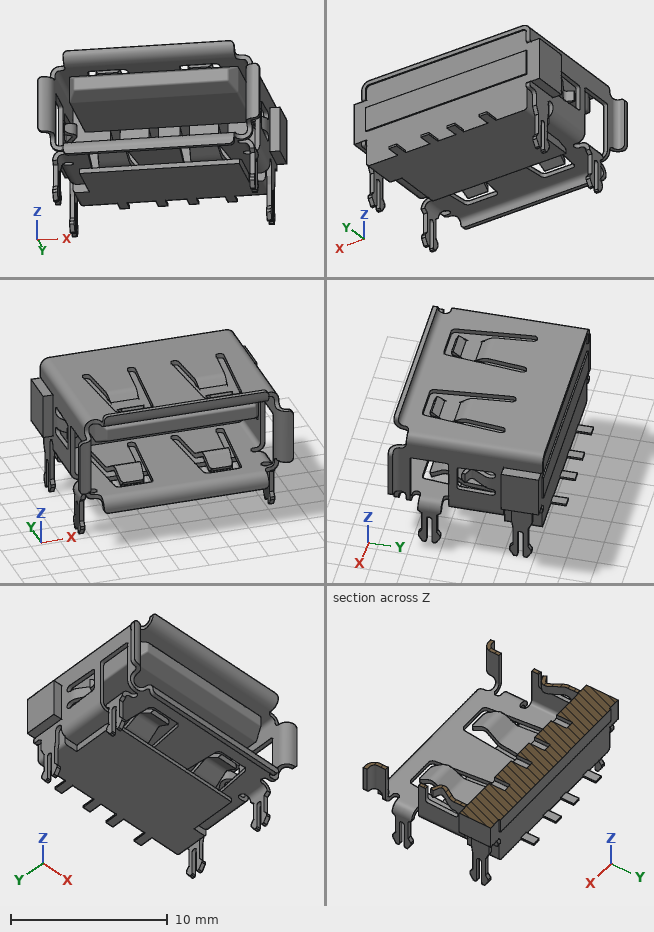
import cadquery as cq
import math


SHEET = 0.3
SHELL_WIDTH = 13.09
SHELL_HEIGHT = 5.72
SHELL_FRONT = 1.04
SHELL_REAR = 10.0
CORNER_RADIUS = 0.6
HALF_WIDTH = SHELL_WIDTH / 2
INNER_HALF_WIDTH = HALF_WIDTH - SHEET
MID_HEIGHT = SHELL_HEIGHT / 2
TOP_INSIDE = SHELL_HEIGHT - SHEET

FLARE_REACH = 0.65
FLARE_BEND = 0.68
FLARE_ROOT_RADIUS = SHELL_FRONT - FLARE_BEND
FLARE_TIP_RADIUS = 0.3
LIP_WIDTH = 11.09
SIDE_FLARE_WIDTH = 3.7

SPRING_ANGLE = 32.0
SPRING_BEND_RADIUS = 0.86
SPRING_X = 2.98
SPRING_SPACE = 1.44
SLOT_END_RATIO = 0.48

SIDE_WINDOW_FRONT = 1.3
SIDE_WINDOW_REAR = 3.83
SIDE_WINDOW_TOP = 3.99
SIDE_WINDOW_RADIUS = 0.15
RELIEF_CENTRE_X = 5.79
REAR_CUT_FRONT = 7.43
REAR_CUT_TOP = 1.0
EDGE_RADIUS = 0.12

LEG_Y = 2.55
LEG_PITCH = 5.99
REAR_LEG_Y = LEG_Y + LEG_PITCH
LEG_BOTTOM = -2.98
LEG_NECK_Z = -0.6
LEG_NECK_WIDTH = 1.0
LEG_BARB_WIDTH = 1.43
LEG_BARB_TOP = -2.05
LEG_BARB_SIDE_TOP = -2.33
LEG_BARB_SIDE_BOTTOM = -2.53
LEG_TIP_WIDTH = 0.19
LEG_SLOT_WIDTH = 0.37
LEG_SLOT_TOP = -0.86
FRONT_LEG_WIDTH = 1.51
FRONT_LEG_BEND = 0.68
REAR_LEG_WIDTH = 1.34
REAR_LEG_SHIFT = 0.09
REAR_LEG_SHOULDER_Z = -0.06
REAR_LEG_ROOT_RADIUS = 0.26

BLOCK_REAR = 9.9
BLOCK_BOTTOM = -0.56
BLOCK_EDGE_RADIUS = 0.25
EAR_HALF_SPAN = 7.2
EAR_BOTTOM = 1.41
EAR_TOP = 4.39
PAD_BOTTOM = 2.05
PAD_TOP = 3.79
TONGUE_WIDTH = 11.0
TONGUE_BOTTOM = 3.51
TONGUE_TOP = 5.33
TONGUE_TAPER_START = 2.0
TONGUE_TAPER_INSET = 0.49
TONGUE_EDGE_RADIUS = 0.15
FOOT_WIDTH = 10.37
FOOT_FRONT = 3.97
FOOT_SLOPE_END = 4.82
FOOT_FRONT_TOP = -0.25

CONTACT_X = (-3.5, -1.01, 1.01, 3.5)
CONTACT_WIDTH = 0.62
CONTACT_BEND = 0.2
CONTACT_DROP = 0.7
CHANNEL_DEPTH = 1.44
PIN_END = 10.9
PIN_THICKNESS = 0.15

TOP, RIGHT, BOTTOM, LEFT = 0, 90, 180, 270


def box(x_range, y_range, z_range):
    """A box between the given limits."""
    lengths = [high - low for low, high in (x_range, y_range, z_range)]
    corner = (x_range[0], y_range[0], z_range[0])
    return cq.Workplane("XY").box(*lengths, centered=False).translate(corner)


def both_sides(shape):
    """The shape together with its mirror image across the middle plane."""
    return shape.union(shape.mirror("YZ"))


def extrude_across(profile, width):
    """Extrude a closed YZ outline symmetrically along X."""
    return profile.extrude(width / 2, both=True)


def on_wall(shape, wall):
    """Move a shape from a flat sheet with its outer face at Z = 0 to one wall of the tube."""
    distance = HALF_WIDTH if wall in (LEFT, RIGHT) else MID_HEIGHT
    turned = shape.translate((0, 0, distance)).rotate((0, 0, 0), (0, 1, 0), wall)
    return turned.translate((0, 0, MID_HEIGHT))



def tube():
    """The rectangular tube with rounded corners."""
    outer = box((-HALF_WIDTH, HALF_WIDTH), (SHELL_FRONT, SHELL_REAR), (0, SHELL_HEIGHT))
    inner = box(
        (-INNER_HALF_WIDTH, INNER_HALF_WIDTH), (SHELL_FRONT, SHELL_REAR), (SHEET, TOP_INSIDE)
    )
    return outer.edges("|Y").fillet(CORNER_RADIUS).cut(inner.edges("|Y").fillet(CORNER_RADIUS - SHEET))


def flare(width):
    """An outward bent lip in front of a wall, with rounded tip corners and filleted roots."""
    inner_bend = FLARE_BEND - SHEET
    diagonal = math.sqrt(0.5)
    centre_z = FLARE_BEND - SHEET
    profile = (
        cq.Workplane("YZ")
        .moveTo(SHELL_FRONT, -SHEET)
        .lineTo(FLARE_BEND, -SHEET)
        .threePointArc(
            (FLARE_BEND * (1 - diagonal), centre_z - FLARE_BEND * diagonal), (0, centre_z)
        )
        .lineTo(0, FLARE_REACH)
        .lineTo(SHEET, FLARE_REACH)
        .lineTo(SHEET, centre_z)
        .threePointArc(
            (FLARE_BEND - inner_bend * diagonal, centre_z - inner_bend * diagonal), (FLARE_BEND, 0)
        )
        .lineTo(SHELL_FRONT, 0)
        .close()
    )
    lip = extrude_across(profile, width).edges("|Y and >Z").fillet(FLARE_TIP_RADIUS)
    edge = width / 2
    root = (
        cq.Workplane("XY")
        .moveTo(edge, FLARE_BEND)
        .radiusArc((edge + FLARE_ROOT_RADIUS, SHELL_FRONT), FLARE_ROOT_RADIUS)
        .lineTo(edge, SHELL_FRONT)
        .close()
        .extrude(-SHEET)
    )
    return lip.union(both_sides(root))


def trapezoid(rear_y, front_y, rear_half_width, front_half_width):
    """A symmetric trapezoid prism that reaches inward from the outer face of a wall."""
    outline = [
        (-rear_half_width, rear_y),
        (-front_half_width, front_y),
        (front_half_width, front_y),
        (rear_half_width, rear_y),
    ]
    return cq.Workplane("XY").polyline(outline).close().extrude(-SPRING_SPACE)


def direction(angle):
    """The unit vector in the YZ plane for an angle in degrees from +Y toward +Z."""
    return cq.Vector(0, math.cos(math.radians(angle)), math.sin(math.radians(angle)))


def spring_sheet(root_y, bend_y, apex_y, tip_y, return_angle, apex_radius):
    """A sheet that slopes inward from bend_y to apex_y, then back outward until it ends at tip_y."""
    slope_normal = direction(SPRING_ANGLE - 90)
    return_normal = direction(-90 - return_angle)
    flat_normal = direction(-90)

    def miter(first, second):
        """The step from a corner of the outer face to the matching corner of the inner face."""
        return (first + second) * (SHEET / (1 + first.dot(second)))

    bend = cq.Vector(0, bend_y, 0)
    apex = cq.Vector(0, apex_y, (apex_y - bend_y) * math.tan(math.radians(SPRING_ANGLE)))
    return_reach = apex_y - tip_y + return_normal.y * SHEET
    tip = apex + direction(180 - return_angle) * (return_reach / math.cos(math.radians(return_angle)))
    inner_tip = tip + return_normal * SHEET
    inner_apex = apex + miter(slope_normal, return_normal)
    inner_bend = bend + miter(flat_normal, slope_normal)
    root = cq.Vector(0, root_y, 0)
    inner_root = root + flat_normal * SHEET

    corners = [root, bend, apex, tip, inner_tip, inner_apex, inner_bend, inner_root]
    profile = cq.Workplane("YZ").polyline([(point.y, point.z) for point in corners]).close()
    sheet = extrude_across(profile, SHELL_WIDTH)
    roundings = [
        (bend, SPRING_BEND_RADIUS),
        (inner_bend, SPRING_BEND_RADIUS - SHEET),
        (apex, apex_radius - SHEET),
        (inner_apex, apex_radius),
    ]
    for point, radius in roundings:
        corner = cq.selectors.NearestToPointSelector(point.toTuple())
        sheet = sheet.edges(corner).fillet(radius)
    return sheet


def add_spring(shell, wall, across, root_y, end_y, root_half_width, end_half_width,
               tongue_root_half_width, tongue_end_half_width, corner_radius, bend_y, apex_y, tip_y,
               tip_radius, return_angle, apex_radius):
    """Cut a spring tongue free from a wall with a U-shaped slot and bend it inward."""
    opening = trapezoid(root_y, end_y, root_half_width, end_half_width)
    opening = opening.edges("|Z and <Y").fillet(corner_radius)
    blank = trapezoid(root_y, end_y, tongue_root_half_width, tongue_end_half_width)
    slot_end_radius = SLOT_END_RATIO * (root_half_width - tongue_root_half_width)
    slots = opening.cut(blank).edges("|Z and >Y").fillet(slot_end_radius)

    beyond_tip = box((-SHELL_WIDTH, SHELL_WIDTH), (end_y, tip_y), (-SPRING_SPACE, 0))
    outline = blank.cut(beyond_tip).edges("|Z and <Y").fillet(tip_radius)
    spring = spring_sheet(root_y, bend_y, apex_y, tip_y, return_angle, apex_radius).intersect(outline)

    place = (across, 0, 0)
    shell = shell.cut(on_wall(slots.union(blank).translate(place), wall))
    return shell.union(on_wall(spring.translate(place), wall))


def leg_plate(centre_y, shoulder_y, shoulder_points):
    """A flat leg, split and barbed below its neck, in the plane of the right wall.

    shoulder_points is the half outline above the neck, about shoulder_y.
    """
    neck = LEG_NECK_WIDTH / 2
    barb = LEG_BARB_WIDTH / 2
    slot = LEG_SLOT_WIDTH / 2
    prong_middle = (neck + slot) / 2
    prong = [
        (neck, LEG_NECK_Z),
        (neck, LEG_BARB_TOP),
        (barb, LEG_BARB_SIDE_TOP),
        (barb, LEG_BARB_SIDE_BOTTOM),
        (prong_middle + LEG_TIP_WIDTH / 2, LEG_BOTTOM),
        (prong_middle - LEG_TIP_WIDTH / 2, LEG_BOTTOM),
        (slot, LEG_BOTTOM + LEG_TIP_WIDTH / 2),
        (slot, LEG_SLOT_TOP - slot),
    ]

    def half_outline(side):
        shoulder = [(shoulder_y + side * y, z) for y, z in shoulder_points]
        return shoulder + [(centre_y + side * y, z) for y, z in prong]

    rear = half_outline(1)
    front = half_outline(-1)[::-1]
    return (
        cq.Workplane("YZ", origin=(INNER_HALF_WIDTH, 0, 0))
        .polyline(rear)
        .threePointArc((centre_y, LEG_SLOT_TOP), front[0])
        .polyline(front, includeCurrent=False)
        .close()
        .extrude(SHEET)
    )


def front_leg():
    """The right front leg with the bend that joins it to the bottom wall."""
    half = FRONT_LEG_WIDTH / 2
    inner = FRONT_LEG_BEND - SHEET
    centre_x = HALF_WIDTH - FRONT_LEG_BEND
    centre_z = SHEET - FRONT_LEG_BEND
    quarter = box(
        (centre_x, HALF_WIDTH), (LEG_Y - half, LEG_Y + half), (centre_z, SHEET)
    )
    ring = (
        cq.Workplane("XZ", origin=(centre_x, LEG_Y, centre_z))
        .circle(FRONT_LEG_BEND)
        .circle(inner)
        .extrude(half, both=True)
    )
    root = box((RELIEF_CENTRE_X, centre_x), (LEG_Y - half, LEG_Y + half), (0, SHEET))
    return leg_plate(LEG_Y, LEG_Y, [(half, centre_z)]).union(ring.intersect(quarter)).union(root)


def rear_leg():
    """The right rear leg, which hangs straight down from the side wall."""
    half = REAR_LEG_WIDTH / 2
    root_y = REAR_LEG_Y + REAR_LEG_SHIFT
    leg = leg_plate(REAR_LEG_Y, root_y, [(half, REAR_CUT_TOP), (half, REAR_LEG_SHOULDER_Z)])
    r = REAR_LEG_ROOT_RADIUS
    for side in (-1, 1):
        edge = root_y + side * half
        root = (
            cq.Workplane("YZ", origin=(INNER_HALF_WIDTH, 0, 0))
            .moveTo(edge, REAR_CUT_TOP)
            .lineTo(edge + side * r, REAR_CUT_TOP)
            .radiusArc((edge, REAR_CUT_TOP - r), -side * r)
            .close()
            .extrude(SHEET)
        )
        leg = leg.union(root)
    return leg


def side_window():
    """The window in the right wall, reaching into the bottom wall with a round slot on each side of the leg."""
    window = box(
        (RELIEF_CENTRE_X, HALF_WIDTH), (SIDE_WINDOW_FRONT, SIDE_WINDOW_REAR), (0, SIDE_WINDOW_TOP)
    )
    window = window.edges("|X and >Z").fillet(SIDE_WINDOW_RADIUS)
    leg_front = LEG_Y - FRONT_LEG_WIDTH / 2
    leg_rear = LEG_Y + FRONT_LEG_WIDTH / 2
    for front, rear in ((SIDE_WINDOW_FRONT, leg_front), (leg_rear, SIDE_WINDOW_REAR)):
        slot_end = cq.Workplane("XY", origin=(RELIEF_CENTRE_X, (front + rear) / 2, 0))
        window = window.union(slot_end.circle((rear - front) / 2).extrude(SHEET))
    return window


def rear_cut():
    """The rear opening under the shell and the notches for the insulator's ears."""
    span = (-HALF_WIDTH, HALF_WIDTH)
    depth = (REAR_CUT_FRONT, SHELL_REAR)
    below = box(span, depth, (0, REAR_CUT_TOP))
    below = below.edges("|X and <Y and >Z").fillet(REAR_LEG_ROOT_RADIUS)
    return below.union(box(span, depth, (EAR_BOTTOM, EAR_TOP)))


def round_ear_notches(shell):
    """Round the rear corners of the side walls above and below each ear."""
    corners = cq.selectors.BoxSelector(
        (-HALF_WIDTH, SHELL_REAR - SHEET, REAR_CUT_TOP - SHEET),
        (HALF_WIDTH, SHELL_REAR + SHEET, EAR_TOP + SHEET),
    )
    return shell.edges("|X").edges(corners).fillet(EDGE_RADIUS)


def make_shell():
    """The shell, folded from one sheet."""
    shell = tube().cut(rear_cut())
    shell = round_ear_notches(shell)
    shell = shell.cut(both_sides(side_window()))
    for wall in (TOP, BOTTOM):
        shell = shell.union(on_wall(flare(LIP_WIDTH), wall))
    for wall in (LEFT, RIGHT):
        shell = shell.union(on_wall(flare(SIDE_FLARE_WIDTH), wall))
    for wall in (TOP, BOTTOM):
        for across in (-SPRING_X, SPRING_X):
            shell = add_spring(
                shell, wall, across, root_y=7.04, end_y=1.51, root_half_width=1.8, end_half_width=1.25,
                tongue_root_half_width=1.28, tongue_end_half_width=0.73, corner_radius=0.3, bend_y=4.2,
                apex_y=3.07, tip_y=1.9, tip_radius=0.26, return_angle=SPRING_ANGLE, apex_radius=0.66,
            )
    for wall in (LEFT, RIGHT):
        shell = add_spring(
            shell, wall, 0, root_y=6.9, end_y=4.38, root_half_width=1.0, end_half_width=0.9,
            tongue_root_half_width=0.49, tongue_end_half_width=0.33, corner_radius=0.19, bend_y=6.34,
            apex_y=5.18, tip_y=4.62, tip_radius=0.26, return_angle=65, apex_radius=0.5,
        )
    return shell.union(both_sides(front_leg())).union(both_sides(rear_leg()))



def block():
    """The rear block with its ears and the pad on its back."""
    body = box(
        (-INNER_HALF_WIDTH, INNER_HALF_WIDTH), (REAR_CUT_FRONT, BLOCK_REAR), (BLOCK_BOTTOM, TOP_INSIDE)
    )
    body = body.edges("|Y and >Z").fillet(CORNER_RADIUS - SHEET)
    body = body.edges("|Y and <Z").fillet(BLOCK_EDGE_RADIUS)
    ears = box((-EAR_HALF_SPAN, EAR_HALF_SPAN), (REAR_CUT_FRONT, BLOCK_REAR), (EAR_BOTTOM, EAR_TOP))
    pad = box((-INNER_HALF_WIDTH, INNER_HALF_WIDTH), (BLOCK_REAR, SHELL_REAR), (PAD_BOTTOM, PAD_TOP))
    return body.union(ears).union(pad)


def tongue():
    """The contact carrier in the mouth, tapered on all four sides at its front."""
    inset = TONGUE_TAPER_INSET
    half = TONGUE_WIDTH / 2
    taper = TONGUE_TAPER_START
    side = cq.Workplane("YZ").polyline([
        (REAR_CUT_FRONT, TONGUE_BOTTOM),
        (taper, TONGUE_BOTTOM),
        (SHELL_FRONT, TONGUE_BOTTOM + inset),
        (SHELL_FRONT, TONGUE_TOP - inset),
        (taper, TONGUE_TOP),
        (REAR_CUT_FRONT, TONGUE_TOP),
    ]).close()
    plan = cq.Workplane("XY").polyline([
        (-half, REAR_CUT_FRONT),
        (-half, taper),
        (inset - half, SHELL_FRONT),
        (half - inset, SHELL_FRONT),
        (half, taper),
        (half, REAR_CUT_FRONT),
    ]).close()
    body = extrude_across(side, TONGUE_WIDTH).intersect(plan.extrude(SHELL_HEIGHT))
    return body.faces("not >Y").edges("not >Y").fillet(TONGUE_EDGE_RADIUS)


def foot():
    """The plate under the shell, thinned to a slope at its front."""
    profile = cq.Workplane("YZ").polyline([
        (REAR_CUT_FRONT, BLOCK_BOTTOM),
        (FOOT_FRONT, BLOCK_BOTTOM),
        (FOOT_FRONT, FOOT_FRONT_TOP),
        (FOOT_SLOPE_END, 0),
        (REAR_CUT_FRONT, 0),
    ]).close()
    return extrude_across(profile, FOOT_WIDTH)


def contact_channel(x):
    """The space under one contact where it slopes down into the block and bends vertical."""
    low = TONGUE_BOTTOM - CONTACT_DROP
    rear = REAR_CUT_FRONT + CHANNEL_DEPTH
    profile = cq.Workplane("YZ", origin=(x, 0, 0)).polyline([
        (REAR_CUT_FRONT, low),
        (REAR_CUT_FRONT, TONGUE_BOTTOM),
        (rear, low + CONTACT_BEND),
        (rear, low),
    ]).close()
    channel = extrude_across(profile, CONTACT_WIDTH)
    bend = cq.selectors.NearestToPointSelector((x, rear, low + CONTACT_BEND))
    return channel.edges(bend).fillet(CONTACT_BEND)


def contact_pin(x):
    """One contact pin behind the block."""
    half = CONTACT_WIDTH / 2
    return box(
        (x - half, x + half), (BLOCK_REAR, PIN_END), (BLOCK_BOTTOM, BLOCK_BOTTOM + PIN_THICKNESS)
    )


def make_insulator(shell):
    """The insulator with its contacts, recessed where the shell's springs press into the tongue."""
    insulator = block().union(tongue()).union(foot())
    for x in CONTACT_X:
        insulator = insulator.cut(contact_channel(x)).union(contact_pin(x))
    return insulator.cut(shell)


shell = make_shell()
insulator = make_insulator(shell)
result = cq.Compound.makeCompound([shell.val(), insulator.val()])